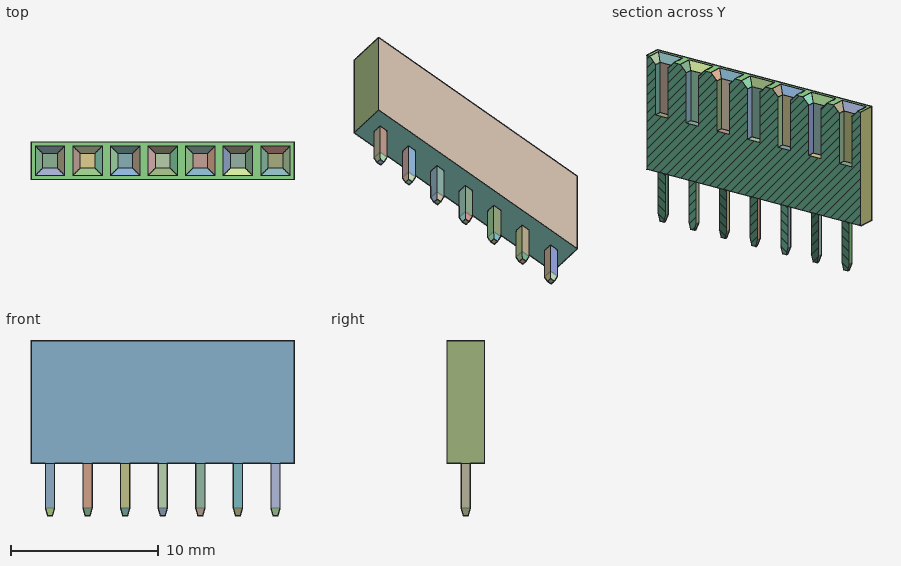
import cadquery as cq

position_count = 7
housing_length = 17.78
housing_height = 8.3
overall_height = 11.85
mouth_width = 2.0
throat_width = 1.0
pin_width = 0.64
pin_tip_width = 0.34
pin_tip_length = 0.53

pitch = housing_length / position_count
housing_width = pitch
lead_in_depth = (mouth_width - throat_width) / 2
socket_depth = housing_height / 2
pin_length = overall_height - housing_height
pin_shank_length = pin_length - pin_tip_length

position_xs = [(i - (position_count - 1) / 2) * pitch for i in range(position_count)]


def make_socket(x):
    """Blind square socket with a tapered lead-in, used as a cutter."""
    lead_in = (
        cq.Workplane("XY", origin=(x, 0, housing_height))
        .rect(mouth_width, mouth_width)
        .workplane(offset=-lead_in_depth)
        .rect(throat_width, throat_width)
        .loft(ruled=True)
    )
    throat = (
        cq.Workplane("XY", origin=(x, 0, housing_height - lead_in_depth))
        .rect(throat_width, throat_width)
        .extrude(-(socket_depth - lead_in_depth))
    )
    return lead_in.union(throat)


def make_housing():
    """Rectangular block with one socket at each position."""
    housing = cq.Workplane("XY").box(
        housing_length, housing_width, housing_height, centered=(True, True, False)
    )
    for x in position_xs:
        housing = housing.cut(make_socket(x))
    return housing


def make_pin(x):
    """Square pin hanging from the housing underside, with a tapered tip."""
    shank = (
        cq.Workplane("XY", origin=(x, 0, 0))
        .rect(pin_width, pin_width)
        .extrude(-pin_shank_length)
    )
    tip = (
        cq.Workplane("XY", origin=(x, 0, -pin_shank_length))
        .rect(pin_width, pin_width)
        .workplane(offset=-pin_tip_length)
        .rect(pin_tip_width, pin_tip_width)
        .loft(ruled=True)
    )
    return shank.union(tip)


housing = make_housing()
pins = [make_pin(x).val() for x in position_xs]

result = cq.Compound.makeCompound([housing.val(), *pins])